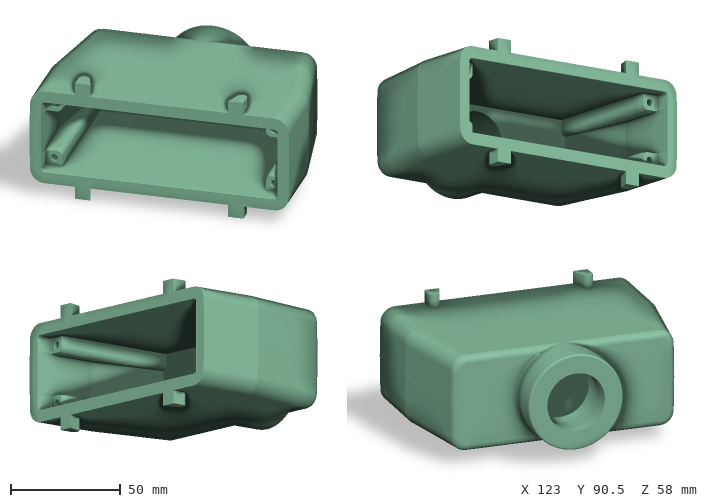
import cadquery as cq
import math

hood_width = 123.0
hood_height = 46.0
hood_depth = 75.3
straight_depth = 32.5
side_taper = 10.0
side_draft = 1.0
corner_radius = 7.0
rear_edge_radius = 3.0

wall = 5.5
mouth_width = hood_width - 2 * wall
mouth_height = hood_height - 2 * wall
lip_depth = 0.6
lip_rise = 0.15
mouth_depth = 7.5
mouth_end_height = 34.4
cavity_rear_height = 33.5
cavity_rear_y = hood_depth - wall
cavity_break_y = straight_depth - wall * math.tan(math.radians(side_taper / 2))
mouth_corner_radius = 1.5

neck_diameter = hood_height
neck_length = 15.19
neck_bore = 28.0
neck_edge_radius = 1.0
neck_root_flare = 1.0

lug_outer_x = 39.8
lug_base_width = 7.25
lug_length = 8.5
lug_height = 6.0
lug_tip_radius = 2.5
lug_rise = 6.0

post_tip_y = 8.0
post_tip_x = 48.3
post_tip_z = 9.9
post_lead_length = 3.3
post_lead_draft = 0.4
post_body_draft = 0.4
post_corner_radius = 2.5
post_embed = 1.5
screw_x = 52.0
screw_z = 13.5
screw_diameter = 3.0
screw_chamfer = 0.3
screw_depth = 15.0
guide_thickness = 0.4
guide_bevel = 0.4


def taper_half_width(half_width, start_y, y):
    """Half width at depth y of a side that leans in from start_y."""
    return half_width - (y - start_y) * math.tan(math.radians(side_taper))


def section(outline, y):
    """Closed wire through XZ points at depth y."""
    return cq.Wire.makePolygon([cq.Vector(x, y, z) for x, z in outline], close=True)


def ruled_loft(near_outline, near_y, far_outline, far_y):
    """Straight-sided solid between two XZ outlines at two depths."""
    wires = [section(near_outline, near_y), section(far_outline, far_y)]
    return cq.Workplane(obj=cq.Solid.makeLoft(wires, True))


def hood_outline(half_width):
    """Six-point section whose sides are widest at mid height."""
    half_height = hood_height / 2
    edge = half_width - half_height * math.tan(math.radians(side_draft))
    return [
        (half_width, 0),
        (edge, half_height),
        (-edge, half_height),
        (-half_width, 0),
        (-edge, -half_height),
        (edge, -half_height),
    ]


def rectangle(half_width, half_height):
    return [
        (half_width, half_height),
        (-half_width, half_height),
        (-half_width, -half_height),
        (half_width, -half_height),
    ]


def side_corner_edges(solid):
    """Select the long edges where the sides meet the top and bottom faces."""
    seam_margin = 1.0
    edges = []
    for edge in solid.edges().vals():
        center = edge.Center()
        span = edge.BoundingBox()
        off_center = min(abs(center.x), abs(center.z)) > seam_margin
        if off_center and span.ylen > seam_margin:
            edges.append(edge)
    return solid.newObject(edges)


def hood_section(half_width, y):
    """Hood section with its four outer corners rounded."""
    face = cq.Face.makeFromWires(section(hood_outline(half_width), y))
    corners = [v for v in face.Vertices() if abs(v.Z) > hood_height / 4]
    return face.fillet2D(corner_radius, corners).outerWire()


def make_hood():
    """Upper half of the solid hood, mirrored to the lower half."""
    front_half = hood_width / 2
    rear_half = taper_half_width(front_half, straight_depth, hood_depth)
    mouth_end = hood_section(front_half, 0)
    taper_start = hood_section(front_half, straight_depth)
    rear_end = hood_section(rear_half, hood_depth)
    above = cq.Workplane("XY").rect(2 * hood_width, 4 * hood_depth).extrude(hood_height)
    straight = above.intersect(cq.Workplane(obj=cq.Solid.makeLoft([mouth_end, taper_start], True)))
    tapered = above.intersect(cq.Workplane(obj=cq.Solid.makeLoft([taper_start, rear_end], True)))
    tapered = tapered.faces(">Y").edges("not(<Z)").fillet(rear_edge_radius)
    upper = straight.union(tapered)
    return upper.union(upper.mirror("XY"))


def make_cavity():
    half = mouth_width / 2
    rear_half = taper_half_width(half, cavity_break_y, cavity_rear_y)
    draft_share = (cavity_break_y - mouth_depth) / (cavity_rear_y - mouth_depth)
    break_height = mouth_end_height + draft_share * (cavity_rear_height - mouth_end_height)
    mouth_section = rectangle(half, mouth_height / 2 - lip_rise)
    mouth_end_section = rectangle(half, mouth_end_height / 2)
    break_section = rectangle(half, break_height / 2)
    rear_section = rectangle(rear_half, cavity_rear_height / 2)
    mouth = ruled_loft(mouth_section, 0, mouth_end_section, mouth_depth)
    mouth = side_corner_edges(mouth).fillet(mouth_corner_radius)
    middle = ruled_loft(mouth_end_section, mouth_depth, break_section, cavity_break_y)
    rear = ruled_loft(break_section, cavity_break_y, rear_section, cavity_rear_y)
    return mouth.union(middle).union(rear)


def make_lip():
    """Shallow flared cut that bevels the long edges of the mouth."""
    half = mouth_width / 2 - mouth_corner_radius
    opening = rectangle(half, mouth_height / 2)
    throat = rectangle(half, mouth_end_height / 2)
    return ruled_loft(opening, 0, throat, lip_depth)


def make_neck():
    """Cylinder starting inside the rear wall, with a small flare on the rear face."""
    end_y = hood_depth + neck_length
    neck = (
        cq.Workplane("XZ", origin=(0, end_y, 0))
        .circle(neck_diameter / 2)
        .extrude(end_y - cavity_rear_y)
        .faces(">Y").edges().fillet(neck_edge_radius)
    )
    radius = neck_diameter / 2
    flare = (
        cq.Workplane("XY")
        .moveTo(0, cavity_rear_y)
        .lineTo(radius + neck_root_flare, cavity_rear_y)
        .lineTo(radius + neck_root_flare, hood_depth)
        .lineTo(radius, hood_depth + neck_root_flare)
        .lineTo(0, hood_depth + neck_root_flare)
        .close()
        .revolve(360, (0, 0, 0), (0, 1, 0))
    )
    flat_height = hood_height - 2 * rear_edge_radius
    flat_zone = cq.Workplane("XY").box(hood_width, 4 * hood_depth, flat_height)
    return neck.union(flare.intersect(flat_zone))


def make_lugs():
    """Two lug prisms through the full height; the hood absorbs their middle."""
    base_x = lug_outer_x - lug_base_width
    tip_x = lug_outer_x - lug_tip_radius
    run = tip_x - base_x
    distance = math.hypot(run, lug_rise)
    angle = math.atan2(-lug_rise, -run) - math.acos(lug_tip_radius / distance)
    tangent_x = tip_x + lug_tip_radius * math.cos(angle)
    tangent_y = lug_rise + lug_tip_radius * math.sin(angle)
    total_height = hood_height + 2 * lug_height
    lug = (
        cq.Workplane("XY", origin=(0, 0, -total_height / 2))
        .moveTo(lug_outer_x, 0)
        .lineTo(lug_outer_x, lug_rise)
        .threePointArc((tip_x, lug_length), (tangent_x, tangent_y))
        .lineTo(base_x, 0)
        .close()
        .extrude(total_height)
    )
    return lug.union(lug.mirror("YZ"))


def post_outline(growth):
    """Post section in the +X +Z corner, enlarged inwards by growth."""
    left = post_tip_x - growth
    bottom = post_tip_z - growth
    right = mouth_width / 2 + post_embed
    top = mouth_height / 2 + post_embed
    return [(left, bottom), (right, bottom), (right, top), (left, top)]


def round_post(post):
    """Round the long edge facing the middle of the cavity."""
    edges = []
    for edge in side_corner_edges(post).vals():
        center = edge.Center()
        if center.x < screw_x and center.z < screw_z:
            edges.append(edge)
    return post.newObject(edges).fillet(post_corner_radius)


def make_post():
    """Post for the +X +Z corner with the wedge that leads into it."""
    lead_end = post_tip_y + post_lead_length
    lead_growth = post_lead_draft
    root_growth = post_lead_draft + post_body_draft
    lead_outline = post_outline(lead_growth)
    rear_y = cavity_rear_y + post_embed
    tip = round_post(ruled_loft(post_outline(0), post_tip_y, lead_outline, lead_end))
    body = round_post(ruled_loft(lead_outline, lead_end, post_outline(root_growth), rear_y))
    wall_x = mouth_width / 2
    guide = (
        cq.Workplane("XY", origin=(0, 0, post_tip_z))
        .polyline([
            (wall_x, 0),
            (wall_x + post_embed, 0),
            (wall_x + post_embed, post_tip_y),
            (wall_x - guide_thickness - guide_bevel, post_tip_y),
            (wall_x - guide_thickness, post_tip_y - guide_bevel),
        ])
        .close()
        .extrude(mouth_height / 2 + post_embed - post_tip_z)
    )
    return tip.union(body).union(guide)


def four_corners(solid):
    pair = solid.union(solid.mirror("YZ"))
    return pair.union(pair.mirror("XY"))


def make_bore():
    return cq.Workplane("XZ").circle(neck_bore / 2).extrude(-(hood_depth + neck_length))


def make_screw_hole():
    """Blind hole from a post tip, with a chamfered entry."""
    radius = screw_diameter / 2
    end_y = post_tip_y + screw_depth
    return (
        cq.Workplane("XY", origin=(screw_x, 0, screw_z))
        .moveTo(0, post_tip_y)
        .lineTo(radius + screw_chamfer, post_tip_y)
        .lineTo(radius, post_tip_y + screw_chamfer)
        .lineTo(radius, end_y)
        .lineTo(0, end_y)
        .close()
        .revolve(360, (0, 0, 0), (0, 1, 0))
    )


hood = make_hood()
posts = four_corners(make_post()).intersect(hood)
result = hood.union(make_neck()).union(make_lugs())
result = result.cut(make_cavity()).cut(make_lip())
result = result.union(posts)
result = result.cut(make_bore()).cut(four_corners(make_screw_hole()))